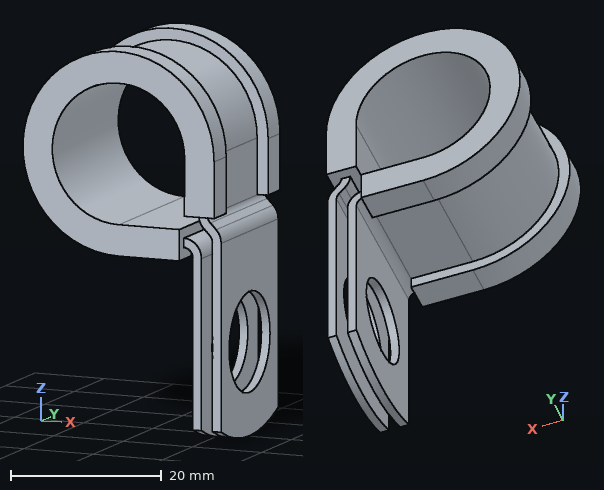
import cadquery as cq
import math

cushion_radius = 13.8
cushion_thickness = 4.25
cushion_width = 22.1
cushion_right_end_z = -7.7
flange_width = 4.05
groove_depth = 1.6
groove_width = cushion_width - 2 * flange_width

strap_thickness = 1.25
strap_width = 19.1
strap_outer_radius = cushion_radius - groove_depth
strap_inner_radius = strap_outer_radius - strap_thickness

total_height = 52.7
leg_bottom_z = cushion_radius - total_height
right_leg_outer_x = 14.15
right_leg_inner_x = right_leg_outer_x - strap_thickness
leg_gap = 1.6
left_leg_inner_x = right_leg_inner_x - leg_gap
left_leg_outer_x = left_leg_inner_x - strap_thickness
bend_inner_radius = strap_thickness
bend_outer_radius = bend_inner_radius + strap_thickness
cushion_bottom_end_x = left_leg_inner_x - bend_outer_radius
jog_angle = math.radians(45)
leg_tip_sagitta = 2.15
left_hole_diameter = 11.9
right_hole_diameter = 13.6
hole_z = -26.2


def extrude_centered(profile, width):
    """Extrude an XZ profile symmetrically about the Y = 0 plane."""
    return profile.extrude(width / 2, both=True)


def band(outer_radius, inner_radius, width):
    """Three-quarter ring with tangent ends running down and to the right."""
    diagonal = math.sqrt(0.5)
    profile = (
        cq.Workplane("XZ")
        .moveTo(outer_radius, cushion_right_end_z)
        .lineTo(outer_radius, 0)
        .threePointArc((-outer_radius * diagonal, outer_radius * diagonal), (0, -outer_radius))
        .lineTo(cushion_bottom_end_x, -outer_radius)
        .lineTo(cushion_bottom_end_x, -inner_radius)
        .lineTo(0, -inner_radius)
        .threePointArc((-inner_radius * diagonal, inner_radius * diagonal), (inner_radius, 0))
        .lineTo(inner_radius, cushion_right_end_z)
        .close()
    )
    return extrude_centered(profile, width)


def cushion():
    """Rubber band with a wide groove between its two end flanges."""
    inner_radius = cushion_radius - cushion_thickness
    body = band(cushion_radius, inner_radius, cushion_width)
    groove = band(cushion_radius, strap_outer_radius, groove_width)
    return body.cut(groove)


def left_leg():
    """Strap end that leaves the cushion sideways and bends straight down."""
    bend_z = -strap_inner_radius - bend_outer_radius
    profile = (
        cq.Workplane("XZ")
        .moveTo(cushion_bottom_end_x, -strap_inner_radius)
        .radiusArc((left_leg_inner_x, bend_z), bend_outer_radius)
        .lineTo(left_leg_inner_x, leg_bottom_z)
        .lineTo(left_leg_outer_x, leg_bottom_z)
        .lineTo(left_leg_outer_x, bend_z)
        .radiusArc((cushion_bottom_end_x, -strap_outer_radius), -bend_inner_radius)
        .close()
    )
    return extrude_centered(profile, strap_width)


def right_leg():
    """Strap end that jogs outward through two equal and opposite bends."""
    sin_jog = math.sin(jog_angle)
    cos_jog = math.cos(jog_angle)
    inner_rise = bend_inner_radius * sin_jog
    outer_rise = bend_outer_radius * sin_jog
    inner_shift = bend_inner_radius * (1 - cos_jog)
    outer_shift = bend_outer_radius * (1 - cos_jog)
    slope_run = right_leg_outer_x - strap_outer_radius - inner_shift - outer_shift
    jog_start_z = cushion_right_end_z
    jog_end_z = jog_start_z - inner_rise - outer_rise - slope_run * math.tan(jog_angle)
    profile = (
        cq.Workplane("XZ")
        .moveTo(strap_outer_radius, jog_start_z)
        .radiusArc((strap_outer_radius + inner_shift, jog_start_z - inner_rise), -bend_inner_radius)
        .lineTo(right_leg_outer_x - outer_shift, jog_end_z + outer_rise)
        .radiusArc((right_leg_outer_x, jog_end_z), bend_outer_radius)
        .lineTo(right_leg_outer_x, leg_bottom_z)
        .lineTo(right_leg_inner_x, leg_bottom_z)
        .lineTo(right_leg_inner_x, jog_end_z)
        .radiusArc((right_leg_inner_x - inner_shift, jog_end_z + inner_rise), -bend_inner_radius)
        .lineTo(strap_inner_radius + outer_shift, jog_start_z - outer_rise)
        .radiusArc((strap_inner_radius, jog_start_z), bend_outer_radius)
        .close()
    )
    return extrude_centered(profile, strap_width)


def leg_outline():
    """Block with the rounded leg tip, used to trim both legs at once."""
    half_width = strap_width / 2
    corner_z = leg_bottom_z + leg_tip_sagitta
    return (
        cq.Workplane("YZ")
        .moveTo(-half_width, 0)
        .lineTo(-half_width, corner_z)
        .threePointArc((0, leg_bottom_z), (half_width, corner_z))
        .lineTo(half_width, 0)
        .close()
        .extrude(right_leg_outer_x)
    )


def bolt_hole(diameter):
    """Round cutter at the bolt position, long enough to pass through either leg."""
    return (
        cq.Workplane("YZ")
        .center(0, hole_z)
        .circle(diameter / 2)
        .extrude(right_leg_outer_x)
    )


drilled_left_leg = left_leg().cut(bolt_hole(left_hole_diameter))
drilled_right_leg = right_leg().cut(bolt_hole(right_hole_diameter))
legs = drilled_left_leg.union(drilled_right_leg).intersect(leg_outline())
result = cushion().union(legs)